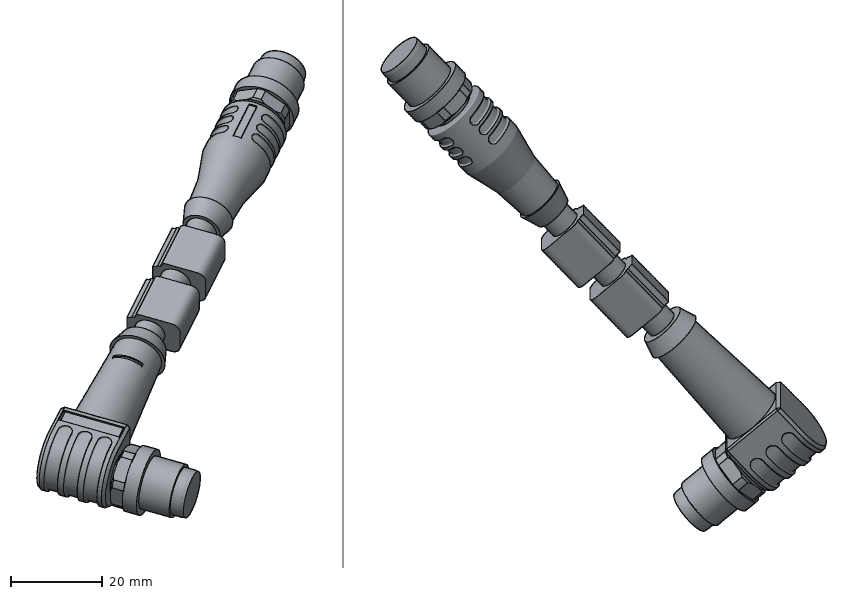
import cadquery as cq
import math


head_radius = 16.0 / 2
head_half_width = 8.0
overall_length = 132.0
overall_width = 33.5
straight_tip_y = overall_length - head_radius
angled_tip_x = overall_width - head_half_width

tip_length = 3.0
tip_bevel_length = 0.9
tip_bevel_depth = 0.1
tip_radius = 10.8 / 2
barrel_end = 10.2
barrel_radius = 12.1 / 2
flange_end = 13.5
flange_radius = 15.0 / 2
nut_end = 16.6
nut_across_flats = 13.0
nut_corner_radius = 14.1 / 2
nut_chamfer = 0.4
neck_radius = 4.8
nose_length = 17.8

grip_radius = 15.0 / 2
grip_top_y = straight_tip_y - nose_length
grip_edge_rounding = 0.3
grip_bottom_y = 93.6
cone_end_y = 85.6
cone_end_radius = 5.7
stem_end_y = 77.7
stem_end_radius = 5.1
collar_wide_radius = 5.7
collar_narrow_radius = 4.4

groove_rounding = 0.6 / 2
grip_groove_depth = 0.5
grip_groove_width = 2.2
grip_groove_half_sweep = 59
grip_groove_pitch = 3.0
grip_groove_middle_y = 100.3
grip_groove_count = 3
marker_width = 1.8
marker_length = 9.9
marker_depth = 0.4

cable_radius = 7.0 / 2
cable_gap = 4.0
clip_length = 12.0
clip_count = 2
clip_half_height = 9.1 / 2
clip_right_x = 7.0
clip_right_round = 2.0
clip_left_x = -3.5
clip_left_round = 1.3
tongue_x = -5.4
tongue_half_height = 2.5
tongue_shelf_x = -4.2
tongue_hollow = 0.2
cable_top_y = 73.4

sleeve_end_y = cable_top_y - clip_count * clip_length - (clip_count + 1) * cable_gap
sleeve_collar_length = 3.8
sleeve_collar_end_radius = 5.3
sleeve_collar_radius = 6.5
sleeve_top_radius = 5.7
sleeve_base_radius = 7.0
sleeve_slot_y = 27.6
sleeve_slot_width = 6.9
sleeve_slot_height = 0.8
sleeve_slot_depth = 0.4

head_back_y = 8.2
head_back_half_height = 7.7
head_bevel_length = 0.8
head_bevel_depth = 0.5
back_bevel_length = 0.4
back_bevel_depth = 0.5
head_groove_depth = 0.5
head_groove_width = 3.2
head_groove_end_y = 2.6
head_groove_pitch = 4.6
head_groove_count = 3
label_floor_length = 13.6
label_mouth_length = 14.4
label_height = 3.2
label_middle_y = 5.3
label_depth = 0.4


def revolve_about_y(profile):
    """Turn a list of (radius, y) corners around the Y axis."""
    return cq.Workplane("XY").polyline(profile).close().revolve(360, (0, 0, 0), (0, 1, 0))


def spread(count, pitch):
    """Evenly spaced offsets centred on zero."""
    return [(i - (count - 1) / 2) * pitch for i in range(count)]


def make_nose():
    """Plug nose pointing along +Y with its tip at the origin, reaching back to -nose_length."""
    turned = revolve_about_y([
        (0, 0),
        (tip_radius - tip_bevel_depth, 0),
        (tip_radius, -tip_bevel_length),
        (tip_radius, -tip_length),
        (barrel_radius, -tip_length),
        (barrel_radius, -barrel_end),
        (flange_radius, -barrel_end),
        (flange_radius, -flange_end),
        (neck_radius, -flange_end),
        (neck_radius, -nose_length),
        (0, -nose_length),
    ])
    across_corners = nut_across_flats / math.cos(math.pi / 6)
    nut_length = nut_end - flange_end
    hexagon = (
        cq.Workplane("XZ", origin=(0, -flange_end, 0))
        .transformed(rotate=(0, 0, 90))
        .polygon(6, across_corners)
        .extrude(nut_length)
    )
    corner_limit = (
        cq.Workplane("XZ", origin=(0, -flange_end, 0))
        .circle(nut_corner_radius)
        .extrude(nut_length)
        .faces("<Y")
        .chamfer(nut_chamfer)
    )
    return turned.union(hexagon.intersect(corner_limit))


def round_floor(cutter, is_on_floor):
    """Round the rim of a groove cutter's floor, leaving its straight cross lines alone."""
    rim = cutter.edges("not |X").filter(lambda edge: is_on_floor(edge.positionAt(0.5)))
    return rim.fillet(groove_rounding)


def grip_groove(y, side):
    """Cutter for a round-ended groove around one side of the straight grip: side is 1 or -1."""
    ring = (
        cq.Workplane("XZ", origin=(0, y + grip_groove_width / 2, 0))
        .circle(grip_radius + grip_groove_depth)
        .circle(grip_radius - grip_groove_depth)
        .extrude(grip_groove_width)
    )
    ray_length = 3 * grip_radius
    half_sweep = math.radians(grip_groove_half_sweep)
    ray_x = side * ray_length * math.cos(half_sweep)
    ray_z = ray_length * math.sin(half_sweep)
    sector = (
        cq.Workplane("XZ", origin=(0, y + grip_groove_width / 2, 0))
        .polyline([(0, 0), (ray_x, ray_z), (ray_x, -ray_z)])
        .close()
        .extrude(grip_groove_width)
    )
    for end_z in (ray_z, -ray_z):
        ray = cq.Vector(ray_x, 0, end_z)
        round_end = cq.Solid.makeCylinder(grip_groove_width / 2, ray_length, cq.Vector(0, y, 0), ray)
        sector = sector.union(cq.Workplane(round_end))
    floor_limit = grip_radius - grip_groove_depth / 2
    return round_floor(ring.intersect(sector), lambda point: math.hypot(point.x, point.z) < floor_limit)


def make_straight_connector():
    body = revolve_about_y([
        (0, grip_top_y),
        (grip_radius, grip_top_y),
        (grip_radius, grip_bottom_y),
        (cone_end_radius, cone_end_y),
        (stem_end_radius, stem_end_y),
        (collar_wide_radius, stem_end_y),
        (collar_narrow_radius, cable_top_y),
        (0, cable_top_y),
    ])
    body = body.faces(">Y").edges().fillet(grip_edge_rounding)
    for offset in spread(grip_groove_count, grip_groove_pitch):
        for side in (1, -1):
            body = body.cut(grip_groove(grip_groove_middle_y + offset, side))
    marker = cq.Workplane("XY", origin=(0, grip_groove_middle_y, grip_radius - marker_depth)).box(
        marker_width, marker_length, 2 * marker_depth, centered=(True, True, False)
    )
    nose = make_nose().translate((0, straight_tip_y, 0))
    return body.cut(marker).union(nose)


def make_clip(y_top):
    """Cable clip: rounded block with a stepped snap tongue along its -X side."""
    slant = math.sqrt(0.5)
    shoulder_z = clip_half_height - clip_left_round
    left_bend = (
        clip_left_x + clip_left_round * (1 - slant),
        clip_half_height - clip_left_round * (1 - slant),
    )
    right_bend = (
        clip_right_x - clip_right_round * (1 - slant),
        clip_half_height - clip_right_round * (1 - slant),
    )
    upper_half = (
        cq.Workplane("XZ", origin=(0, y_top, 0))
        .moveTo(tongue_x, 0)
        .lineTo(tongue_x, tongue_half_height)
        .sagittaArc((tongue_shelf_x, shoulder_z), -tongue_hollow)
        .lineTo(clip_left_x, shoulder_z)
        .threePointArc(left_bend, (clip_left_x + clip_left_round, clip_half_height))
        .lineTo(clip_right_x - clip_right_round, clip_half_height)
        .threePointArc(right_bend, (clip_right_x, clip_half_height - clip_right_round))
        .lineTo(clip_right_x, 0)
        .close()
        .extrude(clip_length)
    )
    return upper_half.union(upper_half.mirror("XY"))


def make_cable():
    cable = cq.Workplane("XZ", origin=(0, cable_top_y, 0)).circle(cable_radius)
    cable = cable.extrude(cable_top_y - sleeve_end_y)
    for i in range(clip_count):
        cable = cable.union(make_clip(cable_top_y - cable_gap - i * (clip_length + cable_gap)))
    return cable


def make_sleeve():
    collar_base_y = sleeve_end_y - sleeve_collar_length
    sleeve = revolve_about_y([
        (0, sleeve_end_y),
        (sleeve_collar_end_radius, sleeve_end_y),
        (sleeve_collar_radius, collar_base_y),
        (sleeve_top_radius, collar_base_y),
        (sleeve_base_radius, head_back_y),
        (sleeve_base_radius, 0),
        (0, 0),
    ])
    drop = (collar_base_y - sleeve_slot_y) / (collar_base_y - head_back_y)
    radius_at_slot = sleeve_top_radius + drop * (sleeve_base_radius - sleeve_top_radius)
    slot = (
        cq.Workplane("XZ", origin=(0, sleeve_slot_y + sleeve_slot_height / 2, 0))
        .circle(radius_at_slot + sleeve_slot_depth)
        .circle(radius_at_slot - sleeve_slot_depth)
        .extrude(sleeve_slot_height)
    )
    slot_limit = cq.Workplane("XY").box(
        sleeve_slot_width, 2 * sleeve_end_y, 2 * sleeve_collar_radius, centered=(True, True, False)
    )
    return sleeve.cut(slot.intersect(slot_limit))


def head_section(x, inset=0.0):
    """Side outline of the angled head: round front, slightly tapering flanks, bevelled back."""
    radius = head_radius - inset
    half_height = head_back_half_height - inset
    back_y = head_back_y - inset
    corner_angle = math.atan2(half_height, back_y)
    tangent_angle = corner_angle + math.acos(radius / math.hypot(back_y, half_height))
    tangent = (radius * math.cos(tangent_angle), radius * math.sin(tangent_angle))
    return (
        cq.Workplane("YZ", origin=(x, 0, 0))
        .moveTo(back_y, half_height - back_bevel_depth)
        .lineTo(back_y - back_bevel_length, half_height)
        .lineTo(*tangent)
        .threePointArc((-radius, 0), (tangent[0], -tangent[1]))
        .lineTo(back_y - back_bevel_length, -half_height)
        .lineTo(back_y, back_bevel_depth - half_height)
        .close()
    )


def make_head():
    straight_half = head_half_width - head_bevel_length
    bevel_angle = math.degrees(math.atan2(head_bevel_depth, head_bevel_length))
    head = head_section(-straight_half).extrude(2 * straight_half)
    end_cap = head_section(straight_half).extrude(head_bevel_length, taper=bevel_angle)
    head = head.union(end_cap).union(end_cap.mirror("YZ"))

    skin = head_section(-straight_half, -head_groove_depth).extrude(2 * straight_half)
    skin = skin.cut(head_section(-straight_half, head_groove_depth).extrude(2 * straight_half))
    floor_limit = head_radius - head_groove_depth / 2

    def is_on_floor(point):
        return math.hypot(min(point.y, 0), point.z) < floor_limit

    groove_length = 2 * head_radius + head_groove_end_y
    for x in spread(head_groove_count, head_groove_pitch):
        outline = (
            cq.Workplane("XY")
            .center(x, head_groove_end_y - groove_length / 2)
            .slot2D(groove_length, head_groove_width, 90)
            .extrude(2 * head_radius, both=True)
        )
        head = head.cut(round_floor(skin.intersect(outline), is_on_floor))

    floor_z = head_back_half_height - label_depth
    label = (
        cq.Workplane("XZ", origin=(0, label_middle_y + label_height / 2, 0))
        .moveTo(-label_floor_length / 2, floor_z)
        .lineTo(label_floor_length / 2, floor_z)
        .lineTo(label_mouth_length / 2, head_radius)
        .lineTo(-label_mouth_length / 2, head_radius)
        .close()
        .extrude(label_height)
    )
    return head.cut(label)


def make_angled_connector():
    nose = make_nose().rotate((0, 0, 0), (0, 0, 1), -90).translate((angled_tip_x, 0, 0))
    return make_sleeve().union(make_head()).union(nose)


result = make_straight_connector().union(make_cable()).union(make_angled_connector())